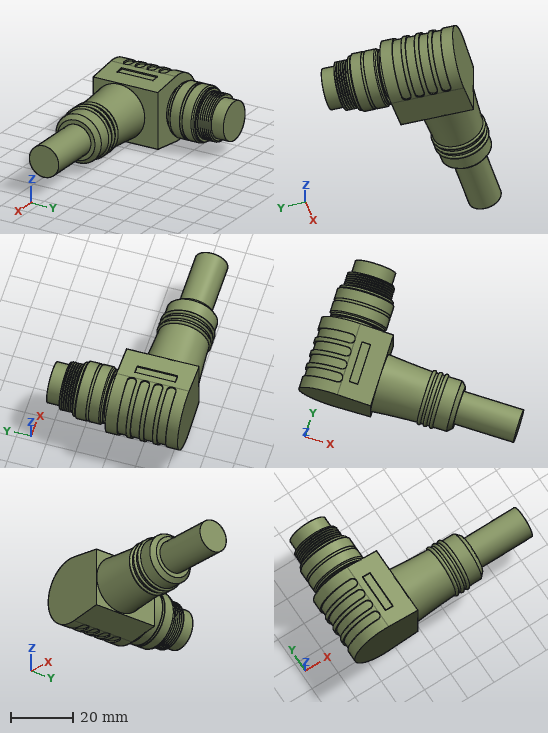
import cadquery as cq
import math


HEAD_RADIUS = 11.5
FLANK_ANGLE = 7.4
HOUSING_RIGHT = 12.65
HOUSING_DEPTH = 24.25

SLOT_COUNT = 4
SLOT_WIDTH = 3.0
SLOT_PITCH = 4.42
SLOT_DEPTH = 0.55
SLOT_FIRST_Y = HOUSING_DEPTH / 2 - SLOT_PITCH * (SLOT_COUNT - 1) / 2

LABEL_SIZE_X = 2.85
LABEL_SIZE_Y = 13.5
LABEL_DEPTH = 0.5
LABEL_CENTER_X = 5.25

NECK_RADIUS = 14.5 / 2
NOSE_RADIUS = 13.6 / 2
NOSE_END = 45.2
THREAD_END = 40.7
NUT_START = 25.7
NUT_END = 36.0
NUT_RADIUS = 19 / 2
NUT_RIM_RADIUS = 18 / 2
NUT_RIM_LENGTH = 0.85
NUT_CONE_LENGTH = 0.4
NUT_RIM_CHAMFER = 0.2
NUT_GROOVE_RADIUS = 18.6 / 2
NUT_GROOVE_WIDTH = 0.9

THREAD_RADIUS = 16 / 2
THREAD_PITCH = 0.75
THREAD_DEPTH = 0.55
THREAD_CREST = 0.06
THREAD_RUNOUT = 0.4
THREAD_START_ANGLE = 163
CUT_CLEARANCE = 0.02

CABLE_Y = 9.75
CABLE_RADIUS = 11 / 2
CABLE_END = 59.3
SLEEVE_RADIUS = 17 / 2
SLEEVE_BASE_RADIUS = 9.6
FLARE_SAG = 0.1
SLEEVE_END = 39.3
SLEEVE_CHAMFER = 1.5
RING_COUNT = 3
RING_FIRST_X = 28.5
RING_PITCH = 2.05
RING_RADIUS = 0.6


def head_outline(radius):
    """Teardrop in XZ: round nose on -X with flat flanks converging toward +X."""
    slope = math.radians(FLANK_ANGLE)
    tangent_x = radius * math.sin(slope)
    tangent_z = radius * math.cos(slope)
    right_z = tangent_z - (HOUSING_RIGHT - tangent_x) * math.tan(slope)
    return (
        cq.Workplane("XZ")
        .moveTo(HOUSING_RIGHT, right_z)
        .lineTo(tangent_x, tangent_z)
        .threePointArc((-radius, 0), (tangent_x, -tangent_z))
        .lineTo(HOUSING_RIGHT, -right_z)
        .close()
    )


def turned_about_y(half_profile):
    """Revolve (radius, y) points about the coupling axis."""
    return cq.Workplane("XY").polyline(half_profile).close().revolve(360, (0, 0, 0), (0, 1, 0))


def housing():
    return head_outline(HEAD_RADIUS).extrude(-HOUSING_DEPTH)


def grip_slots():
    """Layer outside a cylindrical slot floor, kept only inside round-ended slot prints."""
    core = cq.Workplane("XZ").circle(HEAD_RADIUS - SLOT_DEPTH).extrude(-HOUSING_DEPTH)
    layer = housing().cut(core)
    end_x = HEAD_RADIUS * math.sin(math.radians(FLANK_ANGLE))
    length = 2 * (HEAD_RADIUS + end_x)
    centers = [(end_x - length / 2, SLOT_FIRST_Y + i * SLOT_PITCH) for i in range(SLOT_COUNT)]
    prints = (
        cq.Workplane("XY")
        .pushPoints(centers)
        .slot2D(length, SLOT_WIDTH)
        .extrude(HEAD_RADIUS, both=True)
    )
    return layer.intersect(prints)


def label_recess():
    """Rectangular recess sunk square to the upper flank."""
    slope = math.radians(FLANK_ANGLE)
    flank_z = (HEAD_RADIUS - LABEL_CENTER_X * math.sin(slope)) / math.cos(slope)
    flank = cq.Plane(
        origin=(LABEL_CENTER_X, HOUSING_DEPTH / 2, flank_z),
        xDir=(math.cos(slope), 0, -math.sin(slope)),
        normal=(math.sin(slope), 0, math.cos(slope)),
    )
    return cq.Workplane(flank).rect(LABEL_SIZE_X, LABEL_SIZE_Y).extrude(-LABEL_DEPTH)


def coupling_nut():
    """Ring with a stepped rim at both ends and a shallow groove at mid-length."""
    middle = (NUT_START + NUT_END) / 2
    rim_edge_radius = NUT_RIM_RADIUS - NUT_RIM_CHAMFER
    first_cone = NUT_START + NUT_RIM_LENGTH
    last_cone = NUT_END - NUT_RIM_LENGTH
    return turned_about_y([
        (0, NUT_START),
        (rim_edge_radius, NUT_START),
        (NUT_RIM_RADIUS, NUT_START + NUT_RIM_CHAMFER),
        (NUT_RIM_RADIUS, first_cone),
        (NUT_RADIUS, first_cone + NUT_CONE_LENGTH),
        (NUT_RADIUS, middle - NUT_GROOVE_WIDTH / 2),
        (NUT_GROOVE_RADIUS, middle - NUT_GROOVE_WIDTH / 2),
        (NUT_GROOVE_RADIUS, middle + NUT_GROOVE_WIDTH / 2),
        (NUT_RADIUS, middle + NUT_GROOVE_WIDTH / 2),
        (NUT_RADIUS, last_cone - NUT_CONE_LENGTH),
        (NUT_RIM_RADIUS, last_cone),
        (NUT_RIM_RADIUS, NUT_END - NUT_RIM_CHAMFER),
        (rim_edge_radius, NUT_END),
        (0, NUT_END),
    ])


def cylinder_along_y(radius, start_y, end_y):
    return cq.Workplane("XZ", origin=(0, start_y, 0)).circle(radius).extrude(start_y - end_y)


def thread_groove():
    """Right-hand V groove from the plain shank to one pitch past the thread end."""
    start_y = NUT_END + THREAD_RUNOUT
    height = THREAD_END + THREAD_PITCH - start_y
    root_radius = THREAD_RADIUS - THREAD_DEPTH
    half_width = (THREAD_PITCH - THREAD_CREST) / 2
    outer_radius = THREAD_RADIUS + CUT_CLEARANCE
    outer_half_width = half_width * (THREAD_DEPTH + CUT_CLEARANCE) / THREAD_DEPTH
    helix = cq.Wire.makeHelix(THREAD_PITCH, height, root_radius)
    groove = (
        cq.Workplane("XZ")
        .moveTo(root_radius, 0)
        .lineTo(outer_radius, outer_half_width)
        .lineTo(outer_radius, -outer_half_width)
        .close()
        .sweep(cq.Workplane(obj=helix), isFrenet=True)
    )
    return (
        groove.rotate((0, 0, 0), (0, 0, 1), THREAD_START_ANGLE)
        .rotate((0, 0, 0), (1, 0, 0), -90)
        .translate((0, start_y, 0))
    )


def threaded_shank():
    """Shank left over-long so the groove closes inside it, then trimmed to length."""
    start_y = (NUT_START + NUT_END) / 2
    blank_end = THREAD_END + 2 * THREAD_PITCH
    blank = cylinder_along_y(THREAD_RADIUS, start_y, blank_end).cut(thread_groove())
    excess = cylinder_along_y(NUT_RADIUS, THREAD_END, blank_end + THREAD_PITCH)
    return blank.cut(excess)


def neck_and_nose():
    """Pins on both sides of the thread, reaching into the housing and the nut."""
    middle = (NUT_START + NUT_END) / 2
    neck = cylinder_along_y(NECK_RADIUS, HOUSING_DEPTH / 2, middle)
    nose = cylinder_along_y(NOSE_RADIUS, middle, NOSE_END)
    return neck.union(nose)


def cable_outlet():
    """Flared sleeve with grip rings, and the cable leaving it."""
    first_ring_edge = RING_FIRST_X - RING_RADIUS
    flare_middle = (
        (HOUSING_RIGHT + first_ring_edge) / 2,
        (SLEEVE_BASE_RADIUS + SLEEVE_RADIUS) / 2 - FLARE_SAG,
    )
    axis_plane = cq.Workplane("XY", origin=(0, CABLE_Y, 0))
    outlet = (
        axis_plane.moveTo(0, 0)
        .lineTo(0, SLEEVE_RADIUS)
        .lineTo(HOUSING_RIGHT, SLEEVE_BASE_RADIUS)
        .threePointArc(flare_middle, (first_ring_edge, SLEEVE_RADIUS))
        .lineTo(SLEEVE_END - SLEEVE_CHAMFER, SLEEVE_RADIUS)
        .lineTo(SLEEVE_END, SLEEVE_RADIUS - SLEEVE_CHAMFER)
        .lineTo(SLEEVE_END, CABLE_RADIUS)
        .lineTo(CABLE_END, CABLE_RADIUS)
        .lineTo(CABLE_END, 0)
        .close()
        .revolve(360, (0, 0, 0), (1, 0, 0))
    )
    for i in range(RING_COUNT):
        ring = (
            axis_plane.center(RING_FIRST_X + i * RING_PITCH, SLEEVE_RADIUS)
            .circle(RING_RADIUS)
            .revolve(360, (0, -SLEEVE_RADIUS, 0), (1, -SLEEVE_RADIUS, 0))
        )
        outlet = outlet.union(ring)
    return outlet


result = (
    housing()
    .cut(grip_slots())
    .cut(label_recess())
    .union(cable_outlet())
    .union(neck_and_nose())
    .union(threaded_shank())
    .union(coupling_nut())
)